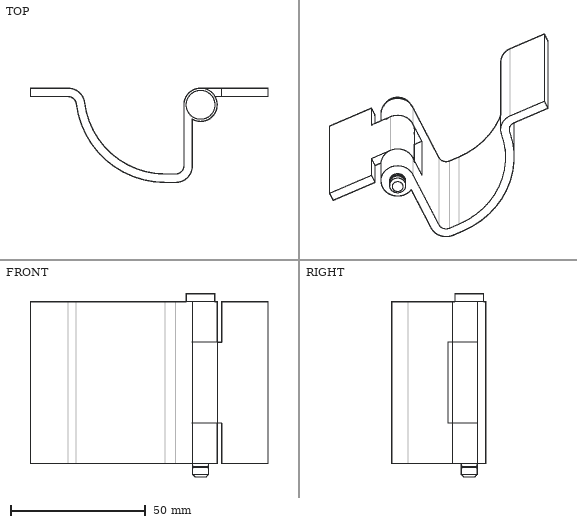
import cadquery as cq
import math

thickness = 3.2
height = 60.0
knuckle_height = height / 4
leaf_knuckle_height = height - 2 * knuckle_height
pin_radius = 3.0
knuckle_radius = pin_radius + thickness
knuckle_clearance = thickness / 2
notch_reach = knuckle_radius + knuckle_clearance

tube_radius = 30.0
cradle_outer_radius = tube_radius + thickness
bend_inner_radius = 3.0
bend_outer_radius = bend_inner_radius + thickness
clamp_depth = 35.0
flange_end_x = -63.0
cradle_center_x = -13.1
flat_end_x = -knuckle_radius - bend_inner_radius
back_y = knuckle_radius
front_y = back_y - clamp_depth

leaf_end_x = 25.0

head_radius = 5.35
head_height = 3.0
tail_length = 5.0
tail_chamfer = 1.0
groove_radius = 2.65
groove_offset = 1.0
groove_width = 0.5


def ring(bottom_z, length):
    """Hinge knuckle without its bore."""
    return cq.Workplane("XY", origin=(0, 0, bottom_z)).circle(knuckle_radius).extrude(length)


def bore(body):
    """Cut the pin hole through the whole height."""
    return body.cut(cq.Workplane("XY").circle(pin_radius).extrude(height))


def polar(center, radius, angle):
    """Point at an angle, in radians, on a circle."""
    return (center[0] + radius * math.cos(angle), center[1] + radius * math.sin(angle))


def clamp_sheet():
    """Bent sheet: flange, bend, cradle arc, short flat, corner bend and wall up to the pin axis."""
    cradle_center = (cradle_center_x, front_y + cradle_outer_radius)
    bend_center_y = back_y - bend_outer_radius
    center_distance = cradle_outer_radius + bend_inner_radius
    center_rise = cradle_center[1] - bend_center_y
    tangent_angle = math.asin(center_rise / center_distance)
    flange_bend = (cradle_center_x - center_distance * math.cos(tangent_angle), bend_center_y)
    bend_middle = (tangent_angle + math.pi / 2) / 2
    cradle_start = math.pi + tangent_angle
    cradle_middle = (cradle_start + 1.5 * math.pi) / 2
    corner_bend = (flat_end_x, front_y + bend_outer_radius)
    corner_middle = -math.pi / 4
    return (
        cq.Workplane("XY")
        .moveTo(flange_end_x, back_y)
        .lineTo(flange_bend[0], back_y)
        .threePointArc(
            polar(flange_bend, bend_outer_radius, bend_middle),
            polar(flange_bend, bend_outer_radius, tangent_angle),
        )
        .threePointArc(
            polar(cradle_center, tube_radius, cradle_middle),
            (cradle_center_x, front_y + thickness),
        )
        .lineTo(flat_end_x, front_y + thickness)
        .threePointArc(
            polar(corner_bend, bend_inner_radius, corner_middle),
            polar(corner_bend, bend_inner_radius, 0),
        )
        .lineTo(-knuckle_radius, 0)
        .lineTo(-pin_radius, 0)
        .lineTo(*polar(corner_bend, bend_outer_radius, 0))
        .threePointArc(
            polar(corner_bend, bend_outer_radius, corner_middle),
            (flat_end_x, front_y),
        )
        .lineTo(cradle_center_x, front_y)
        .threePointArc(
            polar(cradle_center, cradle_outer_radius, cradle_middle),
            polar(cradle_center, cradle_outer_radius, cradle_start),
        )
        .threePointArc(
            polar(flange_bend, bend_inner_radius, bend_middle),
            (flange_bend[0], back_y - thickness),
        )
        .lineTo(flange_end_x, back_y - thickness)
        .close()
        .extrude(height)
    )


def make_clamp():
    """Bent clamp with a knuckle at each end and a notch for the leaf knuckle between them."""
    notch = (
        cq.Workplane("XY", origin=(0, 0, knuckle_height))
        .rect(2 * notch_reach, 2 * notch_reach)
        .extrude(leaf_knuckle_height)
    )
    clamp = clamp_sheet().cut(notch)
    for bottom_z in (0, height - knuckle_height):
        clamp = clamp.union(ring(bottom_z, knuckle_height))
    return bore(clamp)


def make_leaf():
    """Flat leaf with a middle knuckle, notched above and below it for the clamp knuckles."""
    plate = (
        cq.Workplane("XY", origin=(notch_reach, back_y - thickness, 0))
        .box(leaf_end_x - notch_reach, thickness, height, centered=False)
    )
    tongue = (
        cq.Workplane("XY", origin=(0, back_y - thickness, knuckle_height))
        .box(notch_reach, thickness, leaf_knuckle_height, centered=False)
    )
    return bore(plate.union(tongue).union(ring(knuckle_height, leaf_knuckle_height)))


def make_pin():
    """Headed pin with a retaining groove and a chamfered tip, revolved about Z."""
    groove_bottom = -groove_offset - groove_width
    return (
        cq.Workplane("XZ")
        .moveTo(0, -tail_length)
        .lineTo(pin_radius - tail_chamfer, -tail_length)
        .lineTo(pin_radius, tail_chamfer - tail_length)
        .lineTo(pin_radius, groove_bottom)
        .lineTo(groove_radius, groove_bottom)
        .lineTo(groove_radius, -groove_offset)
        .lineTo(pin_radius, -groove_offset)
        .lineTo(pin_radius, height)
        .lineTo(head_radius, height)
        .lineTo(head_radius, height + head_height)
        .lineTo(0, height + head_height)
        .close()
        .revolve(360, (0, 0, 0), (0, 1, 0))
    )


clamp = make_clamp()
leaf = make_leaf()
pin = make_pin()

result = cq.Compound.makeCompound([clamp.solids().val(), leaf.solids().val(), pin.solids().val()])